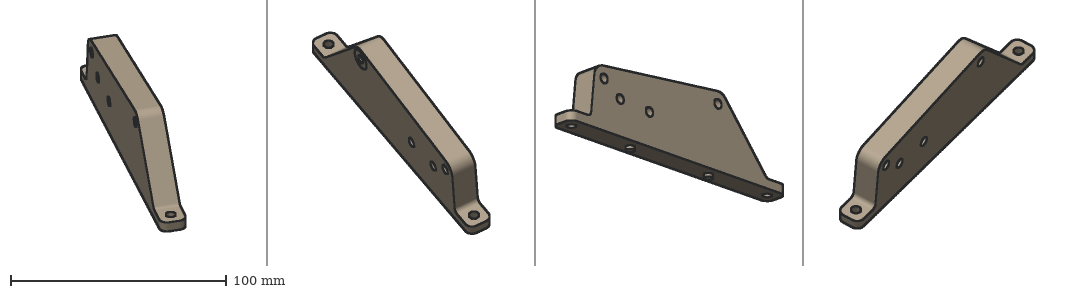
import cadquery as cq
import math

length = 139.7
thickness = 12.7
front_y = -thickness / 2
back_y = thickness / 2
foot_height = 5.0
foot_corner_radius = 3.8
foot_fillet_radius = 2.4

peg_diameter = 4.5
peg_length = 1.8
peg_x = 25.4

overall_height = 41.8
web_height = overall_height - peg_length
web_corner_radius = thickness / 2
rear_corner = (-48.5, 26.1)
peak_corner = (peg_x, web_height - web_corner_radius)
rear_edge_lean = math.radians(6)
ramp_foot_x = 57.3

hole_diameter = 4.6
screw_hole_x = 63.5
lower_cross_holes = [(-38.0, 18.7), (-19.0, 17.5)]

bearing_outer_diameter = 10.0
bearing_bore = 4.0
bearing_width = 4.0
pocket_diameter = 10.3
pocket_floor_y = back_y - bearing_width

top_slope = math.atan2(peak_corner[1] - rear_corner[1], peak_corner[0] - rear_corner[0])
top_normal = top_slope + math.pi / 2
rear_normal = math.pi - rear_edge_lean
ramp_run = ramp_foot_x - peak_corner[0]
ramp_drop = peak_corner[1] - foot_height
ramp_normal = (
    math.acos(web_corner_radius / math.hypot(ramp_run, ramp_drop))
    - math.atan2(ramp_drop, ramp_run)
)


def corner_point(center, angle):
    """Point on the rounded web corner about center, in the direction of angle."""
    return (
        center[0] + web_corner_radius * math.cos(angle),
        center[1] + web_corner_radius * math.sin(angle),
    )


rear_tangent = corner_point(rear_corner, rear_normal)
rear_foot_x = rear_tangent[0] - (rear_tangent[1] - foot_height) * math.tan(rear_edge_lean)


def y_cylinders(centers, diameter, start_y, depth):
    """Cylinders at (X, Z) centers, running from start_y toward +Y."""
    return (
        cq.Workplane("XZ", origin=(0, start_y, 0))
        .pushPoints(centers)
        .circle(diameter / 2)
        .extrude(-depth)
    )


def z_cylinder_pair(x, diameter, height):
    """Cylinders at -x and +x, running from the underside of the foot."""
    return (
        cq.Workplane("XY")
        .pushPoints([(-x, 0), (x, 0)])
        .circle(diameter / 2)
        .extrude(height)
    )


def make_blank():
    """Foot and web as one profile, with sharp corners where the web meets the foot."""
    return (
        cq.Workplane("XZ", origin=(0, front_y, 0))
        .moveTo(-length / 2, 0)
        .lineTo(length / 2, 0)
        .lineTo(length / 2, foot_height)
        .lineTo(ramp_foot_x, foot_height)
        .lineTo(*corner_point(peak_corner, ramp_normal))
        .threePointArc(
            corner_point(peak_corner, (ramp_normal + top_normal) / 2),
            corner_point(peak_corner, top_normal),
        )
        .lineTo(*corner_point(rear_corner, top_normal))
        .threePointArc(
            corner_point(rear_corner, (top_normal + rear_normal) / 2),
            rear_tangent,
        )
        .lineTo(rear_foot_x, foot_height)
        .lineTo(-length / 2, foot_height)
        .close()
        .extrude(-thickness)
    )


def make_plate():
    plate = make_blank()

    plate = plate.edges("|Z").fillet(foot_corner_radius)
    for x in (rear_foot_x, ramp_foot_x):
        web_root = cq.selectors.NearestToPointSelector((x, 0, foot_height))
        plate = plate.edges("|Y").edges(web_root).fillet(foot_fillet_radius)

    plate = plate.cut(z_cylinder_pair(screw_hole_x, hole_diameter, foot_height))
    cross_holes = [rear_corner, peak_corner, *lower_cross_holes]
    plate = plate.cut(y_cylinders(cross_holes, hole_diameter, front_y, thickness))

    plate = plate.cut(y_cylinders([peak_corner], pocket_diameter, pocket_floor_y, bearing_width))
    return plate.union(z_cylinder_pair(peg_x, peg_diameter, -peg_length))


def make_bearing():
    """Plain ring seated on the pocket floor, flush with the back of the plate."""
    ring = y_cylinders([peak_corner], bearing_outer_diameter, pocket_floor_y, bearing_width)
    return ring.cut(y_cylinders([peak_corner], bearing_bore, pocket_floor_y, bearing_width))


plate = make_plate()
bearing = make_bearing()
result = cq.Compound.makeCompound([plate.solids().val(), bearing.solids().val()])